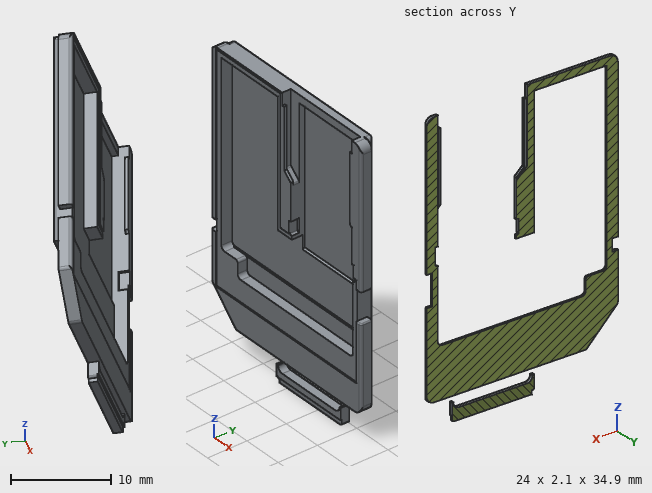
import cadquery as cq


CARD_WIDTH = 24.0
CARD_HEIGHT = 32.0
CARD_THICKNESS = 2.1
RAIL_THICKNESS = 1.4
CORNER_RADIUS = 1.0
CORNER_CUT = 4.0
CORNER_CUT_BLEND = 0.5
FRONT_EDGE_RADIUS = 0.3

RAIL_WIDTH = 0.73
BACK_CORNER_RADIUS = 0.5
BACK_EDGE_RADIUS = 0.25
END_WALL = 0.52
BACK_END_SLOPE = 0.22

LEFT_NOTCH = (9.98, 11.42)
RIGHT_NOTCH = (10.85, 14.53)
RIGHT_NOTCH_RADIUS = 0.15

SIDE_WALL = 0.74
SIDE_MARGIN = RAIL_WIDTH + SIDE_WALL
POCKET_LEFT = SIDE_MARGIN
POCKET_RIGHT = CARD_WIDTH - SIDE_MARGIN
POCKET_TOP = 31.0
POCKET_LEDGE = 8.2
EXTENSION_LEFT = 4.08
EXTENSION_BOTTOM = 6.15
POCKET_CORNER_RADIUS = 0.5
LEDGE_CORNER_RADIUS = 0.3
EXTENSION_DEPTH = 1.36
POCKET_DEPTH = 1.53
POCKET_FLOOR_END = 8.26
FLOOR_RAMP_DROP = 0.07
DEEP_DEPTH = 1.8
DEEP_BOTTOM = 13.42
DEEP_RAMP_RISE = 0.15

LEG_LEFT = 10.49
LEG_BOTTOM = 15.13

SLOT_DEPTH = 1.1
SLOT_LEFT = 11.41
SLOT_NECK_LEFT = 12.76
LIP_THICKNESS = 0.35
LIP_OVERHANG = 0.32
LIP_TOP = 30.47
LIP_SHOULDER = 22.9
SHOULDER_SLOPE = 0.9
SHOULDER_BLEND = 0.25
RIGHT_LIP_BOTTOM = 21.95

LABEL_DEPTH = 0.15
LABEL_BOTTOM = 3.5
LABEL_TOP = 31.75
LABEL_STEP = 15.76
LABEL_COLUMN_RIGHT = 11.12

BRIDGE_WIDTH = 10.3
BRIDGE_HEIGHT = 2.18
BRIDGE_LEFT = LEG_LEFT
BRIDGE_BOTTOM = -2.9
BRIDGE_FOOT_INSET = 0.29
BRIDGE_FOOT_HEIGHT = 0.45
BRIDGE_FOOT_RADIUS = 0.2
BRIDGE_CORNER_RADIUS = 0.3
BRIDGE_LEFT_END_WIDTH = 0.29
BRIDGE_RIGHT_END_WIDTH = 0.2
BRIDGE_BEAM_TOP = 1.46
BRIDGE_LEFT_BLEND_RADIUS = 0.6
BRIDGE_RIGHT_BLEND_RADIUS = 0.7
BRIDGE_STEP_HEIGHT = 0.7
SEAT_WIDTH = 10.36
SEAT_LEFT = SLOT_NECK_LEFT - BRIDGE_FOOT_INSET


def box(x_range, y_range, z_range):
    lengths = [end - start for start, end in (x_range, y_range, z_range)]
    return cq.Workplane("XY").box(*lengths, centered=False).translate((x_range[0], y_range[0], z_range[0]))


def plate(points, y_start, y_end):
    """Extrude an XZ outline from y_start back to y_end."""
    outline = cq.Workplane("XZ", origin=(0, y_start, 0)).polyline(points).close()
    return outline.extrude(y_start - y_end)


def profile(points, x_start, x_end):
    """Extrude a YZ outline from x_start to x_end."""
    outline = cq.Workplane("YZ", origin=(x_start, 0, 0)).polyline(points).close()
    return outline.extrude(x_end - x_start)


def round_corner(solid, x, z, radius):
    """Fillet the Y-parallel edge at (x, z)."""
    reach = 0.01
    picker = cq.selectors.BoxSelector((x - reach, -CARD_THICKNESS, z - reach),
                                      (x + reach, 2 * CARD_THICKNESS, z + reach))
    return solid.edges("|Y").edges(picker).fillet(radius)


def front_shell():
    outline = [(CORNER_CUT, 0), (CARD_WIDTH, 0), (CARD_WIDTH, CARD_HEIGHT), (0, CARD_HEIGHT), (0, CORNER_CUT)]
    shell = plate(outline, 0, RAIL_THICKNESS)
    for x, z in outline[1:4]:
        shell = round_corner(shell, x, z, CORNER_RADIUS)
    for x, z in (outline[0], outline[4]):
        shell = round_corner(shell, x, z, CORNER_CUT_BLEND)
    rounded_bar = box((0, CARD_WIDTH), (0, RAIL_THICKNESS), (0, CARD_HEIGHT))
    rounded_bar = rounded_bar.edges("|Z and <Y").fillet(FRONT_EDGE_RADIUS)
    return shell.intersect(rounded_bar)


def raised_back():
    left = RAIL_WIDTH
    right = CARD_WIDTH - RAIL_WIDTH
    step_x = EXTENSION_LEFT - SIDE_WALL
    back = None
    for start, end, pocket_end in ((left, step_x, POCKET_LEDGE), (step_x, right, EXTENSION_BOTTOM)):
        low = pocket_end - END_WALL
        section = [(RAIL_THICKNESS, low), (CARD_THICKNESS, low + BACK_END_SLOPE),
                   (CARD_THICKNESS, CARD_HEIGHT), (RAIL_THICKNESS, CARD_HEIGHT)]
        block = profile(section, start, end)
        back = block if back is None else back.union(block)
    for x in (left, right):
        back = round_corner(back, x, CARD_HEIGHT, BACK_CORNER_RADIUS)
    rounded_bar = box((left, right), (RAIL_THICKNESS, CARD_THICKNESS), (0, CARD_HEIGHT))
    rounded_bar = rounded_bar.edges("|Z and >Y").fillet(BACK_EDGE_RADIUS)
    return back.intersect(rounded_bar)


def cut_rail_notches(card):
    inner_right = CARD_WIDTH - RAIL_WIDTH
    card = card.cut(box((0, RAIL_WIDTH), (0, CARD_THICKNESS), LEFT_NOTCH))
    card = card.cut(box((inner_right, CARD_WIDTH), (0, CARD_THICKNESS), RIGHT_NOTCH))
    for z in RIGHT_NOTCH:
        card = round_corner(card, CARD_WIDTH, z, RIGHT_NOTCH_RADIUS)
    return card


def label_recess():
    left = RAIL_WIDTH
    right = CARD_WIDTH - RAIL_WIDTH
    outline = [(left, LABEL_BOTTOM), (right, LABEL_BOTTOM), (right, LABEL_STEP),
               (LABEL_COLUMN_RIGHT, LABEL_STEP), (LABEL_COLUMN_RIGHT, LABEL_TOP), (left, LABEL_TOP)]
    return plate(outline, 0, LABEL_DEPTH)


def pocket():
    outline = [(POCKET_LEFT, POCKET_TOP), (POCKET_LEFT, POCKET_LEDGE), (EXTENSION_LEFT, POCKET_LEDGE),
               (EXTENSION_LEFT, EXTENSION_BOTTOM), (POCKET_RIGHT, EXTENSION_BOTTOM),
               (POCKET_RIGHT, LEG_BOTTOM), (LEG_LEFT, LEG_BOTTOM), (LEG_LEFT, POCKET_TOP)]
    hollow = plate(outline, 0, POCKET_DEPTH)
    for x, z in (outline[1], outline[3], outline[4]):
        hollow = round_corner(hollow, x, z, POCKET_CORNER_RADIUS)
    hollow = round_corner(hollow, *outline[2], LEDGE_CORNER_RADIUS)
    raised_floor = [(POCKET_DEPTH, 0), (EXTENSION_DEPTH, 0),
                    (EXTENSION_DEPTH, POCKET_FLOOR_END - FLOOR_RAMP_DROP), (POCKET_DEPTH, POCKET_FLOOR_END)]
    return hollow.cut(profile(raised_floor, 0, CARD_WIDTH))


def deep_pocket():
    """Deepest part of the hollow, behind the slot, with a sloping lower end."""
    section = [(SLOT_DEPTH, DEEP_BOTTOM), (POCKET_DEPTH, DEEP_BOTTOM),
               (DEEP_DEPTH, DEEP_BOTTOM + DEEP_RAMP_RISE), (DEEP_DEPTH, POCKET_TOP), (SLOT_DEPTH, POCKET_TOP)]
    return profile(section, SLOT_NECK_LEFT, POCKET_RIGHT)


def card_slot():
    """Channel for the small card, open at the top, narrowed at the front by a lip on each side."""
    def slanted_edge(x):
        return LIP_SHOULDER - SHOULDER_SLOPE * (x - SLOT_LEFT - LIP_OVERHANG)

    lip_left = SLOT_LEFT + LIP_OVERHANG
    lip_right = POCKET_RIGHT - LIP_OVERHANG
    opening = [(SLOT_LEFT, CARD_HEIGHT), (SLOT_LEFT, LIP_TOP), (lip_left, LIP_TOP), (lip_left, LIP_SHOULDER),
               (SLOT_NECK_LEFT, slanted_edge(SLOT_NECK_LEFT)), (SLOT_NECK_LEFT, LEG_BOTTOM),
               (POCKET_RIGHT, LEG_BOTTOM), (POCKET_RIGHT, RIGHT_LIP_BOTTOM - LIP_OVERHANG),
               (lip_right, RIGHT_LIP_BOTTOM), (lip_right, LIP_TOP), (POCKET_RIGHT, LIP_TOP),
               (POCKET_RIGHT, CARD_HEIGHT)]
    channel = [(SLOT_LEFT, CARD_HEIGHT), (SLOT_LEFT, LIP_SHOULDER),
               (SLOT_NECK_LEFT, slanted_edge(SLOT_NECK_LEFT + LIP_OVERHANG)), (SLOT_NECK_LEFT, LEG_BOTTOM),
               (POCKET_RIGHT, LEG_BOTTOM), (POCKET_RIGHT, CARD_HEIGHT)]
    hollow = plate(channel, LIP_THICKNESS, SLOT_DEPTH)
    for x, z in channel[1:3]:
        hollow = round_corner(hollow, x, z, SHOULDER_BLEND)
    return plate(opening, 0, LIP_THICKNESS).union(hollow)


def bridge_blank(left, bottom, width):
    """Outer block of the bridge; its lower left corner is stepped in."""
    right = left + width
    top = bottom + BRIDGE_HEIGHT
    foot_left = left + BRIDGE_FOOT_INSET
    foot_top = bottom + BRIDGE_FOOT_HEIGHT
    outline = [(left, top), (left, foot_top), (foot_left, foot_top), (foot_left, bottom),
               (right, bottom), (right, top)]
    blank = plate(outline, 0, SLOT_DEPTH)
    blank = round_corner(blank, left, foot_top, BRIDGE_FOOT_RADIUS)
    return round_corner(blank, right, bottom, BRIDGE_CORNER_RADIUS)


def bridge_body():
    right = BRIDGE_LEFT + BRIDGE_WIDTH
    top = BRIDGE_BOTTOM + BRIDGE_HEIGHT
    beam_top = BRIDGE_BOTTOM + BRIDGE_BEAM_TOP
    gap_left = BRIDGE_LEFT + BRIDGE_LEFT_END_WIDTH
    gap_right = right - BRIDGE_RIGHT_END_WIDTH
    gap = box((gap_left, gap_right), (0, SLOT_DEPTH), (beam_top, top))
    gap = round_corner(gap, gap_left, beam_top, BRIDGE_LEFT_BLEND_RADIUS)
    gap = round_corner(gap, gap_right, beam_top, BRIDGE_RIGHT_BLEND_RADIUS)
    step_top = BRIDGE_BOTTOM + BRIDGE_STEP_HEIGHT
    front_step = box((BRIDGE_LEFT, right), (0, LABEL_DEPTH), (BRIDGE_BOTTOM, step_top))
    return bridge_blank(BRIDGE_LEFT, BRIDGE_BOTTOM, BRIDGE_WIDTH).cut(gap).cut(front_step)


def card_body():
    card = cut_rail_notches(front_shell().union(raised_back()))
    seat = bridge_blank(SEAT_LEFT, LEG_BOTTOM, SEAT_WIDTH)
    for hollow in (label_recess(), pocket(), deep_pocket(), card_slot(), seat):
        card = card.cut(hollow)
    return card


card = card_body()
bridge = bridge_body()
result = cq.Compound.makeCompound([card.val(), bridge.val()])